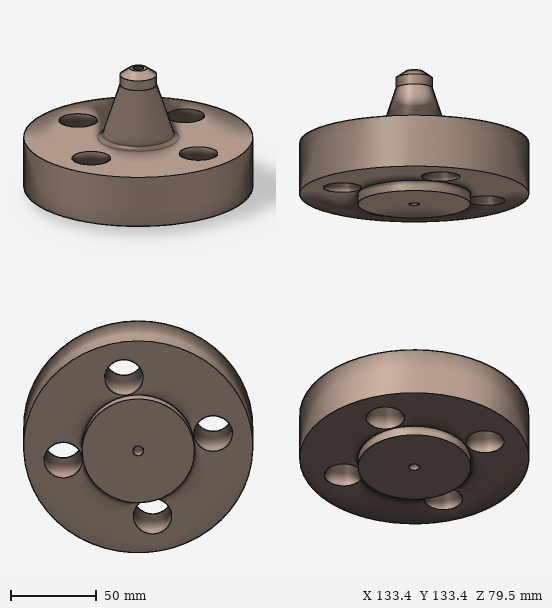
import cadquery as cq
import math

flange_radius = 66.7
flange_thickness = 30.5

face_radius = 32.7
face_height = 6.1

bolt_hole_count = 4
bolt_hole_diameter = 22.3
bolt_circle_radius = 44.4

overall_height = 79.5
hub_base_radius = 21.5
hub_fillet_radius = 2.9
collar_radius = 10.7
collar_height = 6.0
bevel_height = 4.0
tip_radius = 5.0
bore_radius = 3.0

tip_z = overall_height - face_height
bevel_z = tip_z - bevel_height
collar_z = bevel_z - collar_height


def turned_body():
    """Bored flange, raised face and weld neck revolved from one half section."""
    half_section = [
        (bore_radius, -face_height),
        (face_radius, -face_height),
        (face_radius, 0),
        (flange_radius, 0),
        (flange_radius, flange_thickness),
        (hub_base_radius, flange_thickness),
        (collar_radius, collar_z),
        (collar_radius, bevel_z),
        (tip_radius, tip_z),
        (bore_radius, tip_z),
    ]
    return cq.Workplane("XZ").polyline(half_section).close().revolve(360, (0, 0), (0, 1))


def fillet_hub_root(body):
    """Round the inside corner between the tapered hub and the flange."""
    hub_root = body.edges("%CIRCLE").filter(
        lambda edge: math.isclose(edge.radius(), hub_base_radius)
    )
    return hub_root.fillet(hub_fillet_radius)


def bolt_holes():
    """Cylinders through the flange on the bolt circle."""
    return (
        cq.Workplane("XY")
        .polarArray(bolt_circle_radius, 0, 360, bolt_hole_count)
        .circle(bolt_hole_diameter / 2)
        .extrude(flange_thickness)
    )


result = fillet_hub_root(turned_body()).cut(bolt_holes())